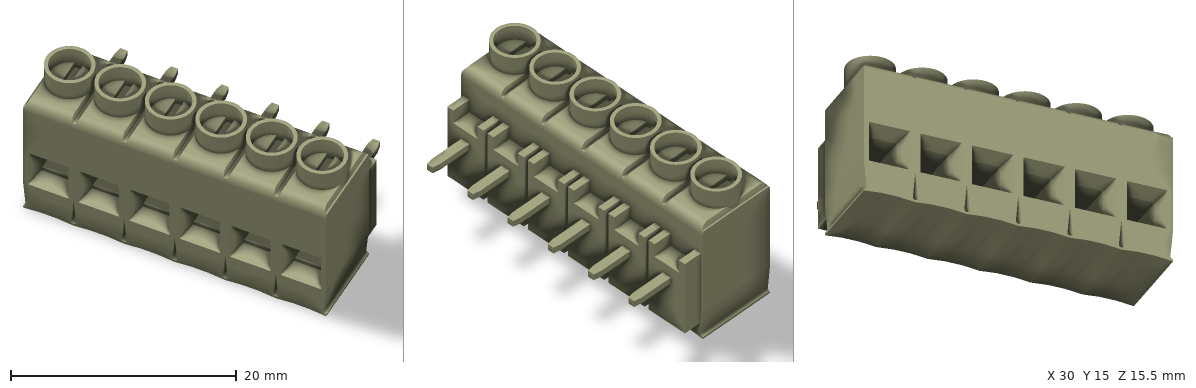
import cadquery as cq
import math

module_count = 6
row_length = 30.0
pitch = row_length / module_count

body_depth = 8.5
body_height = 13.4
top_edge_radius = 1.0
underside_rise = 0.18

groove_floor_z = 12.87
groove_floor_half_width = 0.165
groove_top_half_width = 0.35

slot_tip_z = 3.2
slot_round_z = 0.48
slot_radius = 0.255

tower_diameter = 4.6
tower_top_z = 15.45
bore_top_diameter = 3.85
bore_floor_diameter = 3.65
bore_depth = 1.6
screw_slot_width = 0.85
screw_slot_depth = 0.6

opening_size = 4.0
opening_bottom_z = 3.2
funnel_inset = 0.5
funnel_depth = 1.65
chamber_width = 2.85
chamber_bottom_z = 4.1
chamber_end_y = 6.0

block_width = 4.5
block_length = 2.0
block_bottom_z = 1.83
block_top_z = 10.15
block_rib_width = 0.75
block_channel_depth = 1.5

pin_width = 1.0
pin_tip_width = 0.7
pin_thickness = 0.7
pin_length = 4.5
pin_taper_length = 0.78
pin_center_z = 7.08

module_centers = [(i + 0.5) * pitch - row_length / 2 for i in range(module_count)]
module_boundaries = [i * pitch - row_length / 2 for i in range(module_count + 1)]
tower_center_y = body_depth / 2
block_back_y = body_depth + block_length


def box(width, depth, height, x_center, y_start, z_start):
    """Box centred in X, growing in +Y and +Z from its starting corner."""
    block = cq.Workplane("XY").box(width, depth, height, centered=(True, False, False))
    return block.translate((x_center, y_start, z_start))


def through_body(outline):
    """Extrude a closed XZ outline over the whole depth of the housing."""
    return outline.close().extrude(-body_depth)


def housing_block():
    block = box(row_length, body_depth, body_height, 0, 0, 0)
    return block.faces(">Z").edges("|X").fillet(top_edge_radius)


def top_groove(x):
    return through_body(
        cq.Workplane("XZ")
        .moveTo(x - groove_top_half_width, body_height)
        .lineTo(x - groove_floor_half_width, groove_floor_z)
        .lineTo(x + groove_floor_half_width, groove_floor_z)
        .lineTo(x + groove_top_half_width, body_height)
    )


def bottom_slot(x):
    """Narrow wedge that points up and ends in a half round at the bottom."""
    return through_body(
        cq.Workplane("XZ")
        .moveTo(x, slot_tip_z)
        .lineTo(x - slot_radius, slot_round_z)
        .threePointArc((x, slot_round_z - slot_radius), (x + slot_radius, slot_round_z))
    )


def underside_arch(x):
    """Shallow arch under one module."""
    return through_body(
        cq.Workplane("XZ")
        .moveTo(x - pitch / 2, 0)
        .threePointArc((x, underside_rise), (x + pitch / 2, 0))
    )


def screw_tower(x):
    height = tower_top_z - groove_floor_z
    return (
        cq.Workplane("XY", origin=(x, tower_center_y, groove_floor_z))
        .circle(tower_diameter / 2)
        .extrude(height)
    )


def screw_recess(x):
    """Slightly tapered bore down to the screw head, with the driver slot in the head."""
    floor_z = tower_top_z - bore_depth
    taper = math.degrees(math.atan((bore_top_diameter - bore_floor_diameter) / 2 / bore_depth))
    bore = (
        cq.Workplane("XY", origin=(x, tower_center_y, tower_top_z))
        .circle(bore_top_diameter / 2)
        .extrude(-bore_depth, taper=taper)
    )
    head = (
        cq.Workplane("XY", origin=(x, tower_center_y, floor_z))
        .circle(bore_floor_diameter / 2)
        .extrude(-screw_slot_depth)
    )
    slot_start_y = tower_center_y - bore_floor_diameter / 2
    slot_bottom_z = floor_z - screw_slot_depth
    slot = box(screw_slot_width, bore_floor_diameter, screw_slot_depth, x, slot_start_y, slot_bottom_z)
    return bore.union(head.intersect(slot))


def wire_opening(x):
    opening_center_z = opening_bottom_z + opening_size / 2
    funnel_end_size = opening_size - 2 * funnel_inset
    funnel = (
        cq.Workplane("XZ", origin=(x, 0, opening_center_z))
        .rect(opening_size, opening_size)
        .workplane(offset=-funnel_depth)
        .rect(funnel_end_size, funnel_end_size)
        .loft(combine=True)
    )
    chamber_height = opening_bottom_z + opening_size - funnel_inset - chamber_bottom_z
    chamber_depth = chamber_end_y - funnel_depth
    chamber = box(chamber_width, chamber_depth, chamber_height, x, funnel_depth, chamber_bottom_z)
    return funnel.union(chamber)


def rear_block(x):
    """Block behind the housing with a channel in its top that leaves a rib on each side."""
    height = block_top_z - block_bottom_z
    block = box(block_width, block_length, height, x, body_depth, block_bottom_z)
    channel_width = block_width - 2 * block_rib_width
    channel_floor_z = block_top_z - block_channel_depth
    channel = box(channel_width, block_length, block_channel_depth, x, body_depth, channel_floor_z)
    return block.cut(channel)


def solder_pin(x):
    tip_y = block_back_y + pin_length
    taper_start_y = tip_y - pin_taper_length
    return (
        cq.Workplane("XY", origin=(x, 0, pin_center_z - pin_thickness / 2))
        .moveTo(-pin_width / 2, block_back_y)
        .lineTo(-pin_width / 2, taper_start_y)
        .lineTo(-pin_tip_width / 2, tip_y)
        .lineTo(pin_tip_width / 2, tip_y)
        .lineTo(pin_width / 2, taper_start_y)
        .lineTo(pin_width / 2, block_back_y)
        .close()
        .extrude(pin_thickness)
    )


result = housing_block()

for boundary_x in module_boundaries:
    result = result.cut(top_groove(boundary_x))
    result = result.cut(bottom_slot(boundary_x))

for center_x in module_centers:
    result = result.cut(underside_arch(center_x))
    result = result.union(screw_tower(center_x))
    result = result.cut(screw_recess(center_x))
    result = result.cut(wire_opening(center_x))
    result = result.union(rear_block(center_x))
    result = result.union(solder_pin(center_x))